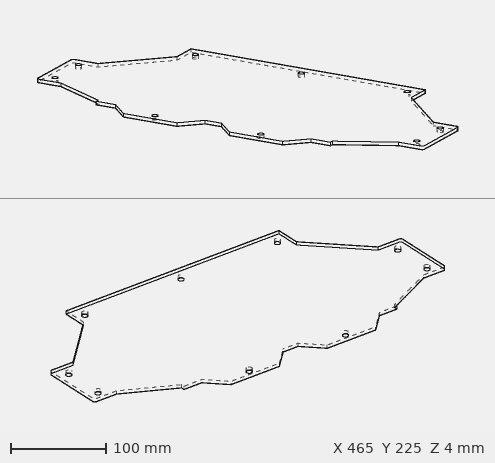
import cadquery as cq

length = 465.0
depth = 225.0
thickness = 4.0
half_length = length / 2
rear_y = depth / 2
front_y = -depth / 2

body_half_width = 141.0
rear_shoulder_y = rear_y - 30.0
wing_rear_y = rear_y - 91.0
wing_front_y = wing_rear_y - 76.5
wing_rear_root_x = body_half_width + rear_shoulder_y - wing_rear_y
wing_front_root_x = 203.0
wing_corner_radius = 3.0

tab_height = 22.0
tab_center_x = 63.5
tab_tip_half_width = 32.0
tab_root_half_width = tab_tip_half_width + tab_height
body_front_y = front_y + tab_height
front_shoulder_y = body_front_y + 4.0

hole_diameter = 6.5
rear_hole_x = 2 * tab_center_x
rear_hole_y = rear_y - 15.0
wing_hole_x = half_length - 15.0
wing_rear_hole_y = wing_rear_y - 13.5
wing_hole_spacing = 50.0
tab_hole_y = front_y + 10.0


def mirrored_outline(right_side):
    """Complete a right-hand outline with its mirror image across the YZ plane."""
    left_side = [(-x, y) for x, y in reversed(right_side)]
    return right_side + left_side


right_side = [
    (body_half_width, rear_y),
    (body_half_width, rear_shoulder_y),
    (wing_rear_root_x, wing_rear_y),
    (half_length, wing_rear_y),
    (half_length, wing_front_y),
    (wing_front_root_x, wing_front_y),
    (body_half_width, front_shoulder_y),
    (body_half_width, body_front_y),
    (tab_center_x + tab_root_half_width, body_front_y),
    (tab_center_x + tab_tip_half_width, front_y),
    (tab_center_x - tab_tip_half_width, front_y),
    (tab_center_x - tab_root_half_width, body_front_y),
]
plate = cq.Workplane("XY").polyline(mirrored_outline(right_side)).close().extrude(thickness)

for wing_end in ("<X", ">X"):
    plate = plate.faces(wing_end).edges("|Z").fillet(wing_corner_radius)

hole_points = [(0, rear_hole_y)]
for side in (-1, 1):
    hole_points += [
        (side * rear_hole_x, rear_hole_y),
        (side * wing_hole_x, wing_rear_hole_y),
        (side * wing_hole_x, wing_rear_hole_y - wing_hole_spacing),
        (side * tab_center_x, tab_hole_y),
    ]
holes = cq.Workplane("XY").pushPoints(hole_points).circle(hole_diameter / 2).extrude(thickness)

result = plate.cut(holes)